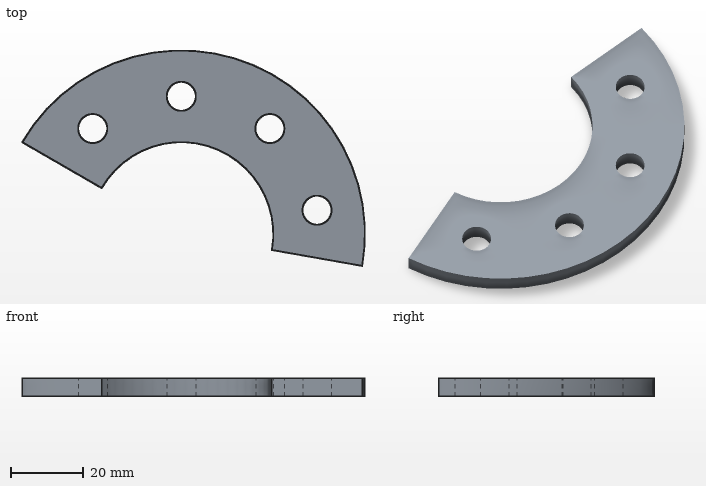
import cadquery as cq
import math

overall_length = 94.8
thickness = 5.0
hole_diameter = 8.0
start_angle = -10.0
end_angle = 150.0
hole_count = 4

outer_radius = overall_length / (1 - math.cos(math.radians(end_angle)))
inner_radius = outer_radius / 2
hole_circle_radius = (outer_radius + inner_radius) / 2

hole_pitch = (end_angle - start_angle) / hole_count
hole_angles = [start_angle + (i + 0.5) * hole_pitch for i in range(hole_count)]


def polar(radius, angle):
    """Point at a radius and angle in degrees about the arc centre."""
    return (radius * math.cos(math.radians(angle)), radius * math.sin(math.radians(angle)))


def ring_sector():
    """Flat plate bounded by two concentric arcs and two radial ends."""
    middle_angle = (start_angle + end_angle) / 2
    return (
        cq.Workplane("XY")
        .moveTo(*polar(inner_radius, start_angle))
        .lineTo(*polar(outer_radius, start_angle))
        .threePointArc(polar(outer_radius, middle_angle), polar(outer_radius, end_angle))
        .lineTo(*polar(inner_radius, end_angle))
        .threePointArc(polar(inner_radius, middle_angle), polar(inner_radius, start_angle))
        .close()
        .extrude(thickness)
    )


def hole_cutters():
    """Through-hole cylinders along the mid-width arc."""
    return (
        cq.Workplane("XY")
        .pushPoints([polar(hole_circle_radius, angle) for angle in hole_angles])
        .circle(hole_diameter / 2)
        .extrude(thickness)
    )


result = ring_sector().cut(hole_cutters())